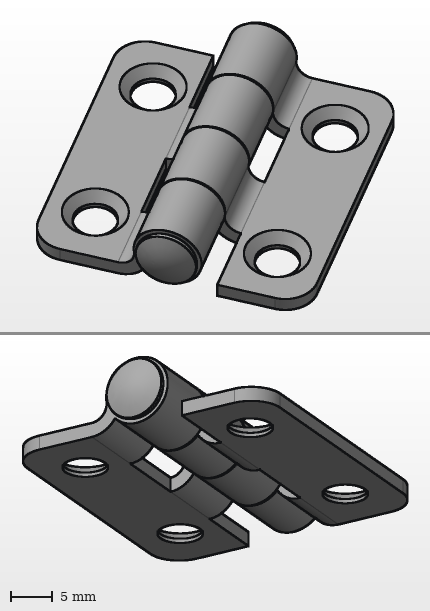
import cadquery as cq
import math


total_length = 40.3
total_width = 35.0
total_height = 9.0
leaf_length = 37.0
leaf_thickness = 1.85
corner_radius = 4.0

knuckle_radius = 4.27
pin_radius = 2.4
end_knuckle_length = 9.05
knuckle_gap = 0.15
bend_inner_radius = 2.0

hole_diameter = 5.45
countersink_diameter = 8.0
countersink_angle = 90.0
hole_offset_x = 11.45
hole_spacing_y = 22.4

head_radius = 3.83
head_base_radius = 3.65
head_edge_radius = 3.8
head_rim_height = 0.7
head_bulge_height = 0.4

half_width = total_width / 2
half_length = leaf_length / 2
axis_z = total_height - knuckle_radius
head_height = (total_length - leaf_length) / 2
inner_knuckle_length = (leaf_length - 2 * end_knuckle_length - 3 * knuckle_gap) / 2

bend_outer_radius = bend_inner_radius + leaf_thickness
bend_center_z = bend_outer_radius
bend_start_x = math.sqrt((knuckle_radius + bend_inner_radius) ** 2 - (bend_center_z - axis_z) ** 2)

left_knuckle_spans = [
    (-half_length, -half_length + end_knuckle_length),
    (knuckle_gap / 2, knuckle_gap / 2 + inner_knuckle_length),
]


def y_extrusion(sketch, y_start, length):
    """Extrude an XZ workplane outline toward +Y, starting at y_start."""
    return sketch.extrude(-length).translate((0, y_start, 0))


def make_plate():
    """Flat part of the left leaf with rounded outer corners and screw holes."""
    plate_width = half_width - bend_start_x
    plate = (
        cq.Workplane("XY")
        .box(plate_width, leaf_length, leaf_thickness, centered=(False, True, False))
        .translate((-half_width, 0, 0))
        .edges("|Z and <X")
        .fillet(corner_radius)
    )
    hole_centers = [(-hole_offset_x, side * hole_spacing_y / 2) for side in (-1, 1)]
    return (
        plate.faces(">Z")
        .workplane(origin=(0, 0, leaf_thickness))
        .pushPoints(hole_centers)
        .cskHole(hole_diameter, countersink_diameter, countersink_angle)
    )


def make_knuckle(y_start, y_end):
    """Solid barrel and its curved bend to the leaf plate."""
    length = y_end - y_start
    barrel = y_extrusion(
        cq.Workplane("XZ").center(0, axis_z).circle(knuckle_radius), y_start, length
    )

    end_angle = math.atan2(axis_z - bend_center_z, bend_start_x)
    middle_angle = (end_angle - math.pi / 2) / 2

    def bend_point(radius, angle):
        return (-bend_start_x + radius * math.cos(angle), bend_center_z + radius * math.sin(angle))

    bend = y_extrusion(
        cq.Workplane("XZ")
        .moveTo(-bend_start_x, 0)
        .threePointArc(bend_point(bend_outer_radius, middle_angle), bend_point(bend_outer_radius, end_angle))
        .lineTo(*bend_point(bend_inner_radius, end_angle))
        .threePointArc(bend_point(bend_inner_radius, middle_angle), (-bend_start_x, leaf_thickness))
        .close(),
        y_start,
        length,
    )
    return barrel.union(bend)


def make_left_leaf():
    leaf = make_plate()
    for y_start, y_end in left_knuckle_spans:
        leaf = leaf.union(make_knuckle(y_start, y_end))
    bore = y_extrusion(
        cq.Workplane("XZ").center(0, axis_z).circle(pin_radius), -half_length, leaf_length
    )
    return leaf.cut(bore)


def make_half_pin():
    """Domed pin on the +Y side, reaching from mid-length to beyond the end knuckle."""
    rim_y = half_length + head_rim_height
    dome_height = head_height - head_rim_height
    dome_radius = (head_edge_radius**2 + dome_height**2) / (2 * dome_height)
    dome_center_y = half_length + head_height - dome_radius
    dome_half_angle = math.asin(head_edge_radius / dome_radius) / 2
    dome_middle = (
        dome_radius * math.sin(dome_half_angle),
        dome_center_y + dome_radius * math.cos(dome_half_angle),
    )
    return (
        cq.Workplane("XY")
        .lineTo(pin_radius, 0)
        .lineTo(pin_radius, half_length)
        .lineTo(head_base_radius, half_length)
        .threePointArc((head_radius, half_length + head_bulge_height), (head_edge_radius, rim_y))
        .threePointArc(dome_middle, (0, half_length + head_height))
        .close()
        .revolve(360, (0, 0, 0), (0, 1, 0))
        .translate((0, 0, axis_z))
    )


def half_turn_pair(body):
    """The body and its copy turned half a revolution about Z, as separate solids."""
    return [body.rotate((0, 0, 0), (0, 0, 1), angle).solids().val() for angle in (0, 180)]


leaves = half_turn_pair(make_left_leaf())
half_pins = half_turn_pair(make_half_pin())

result = cq.Compound.makeCompound([*leaves, *half_pins])